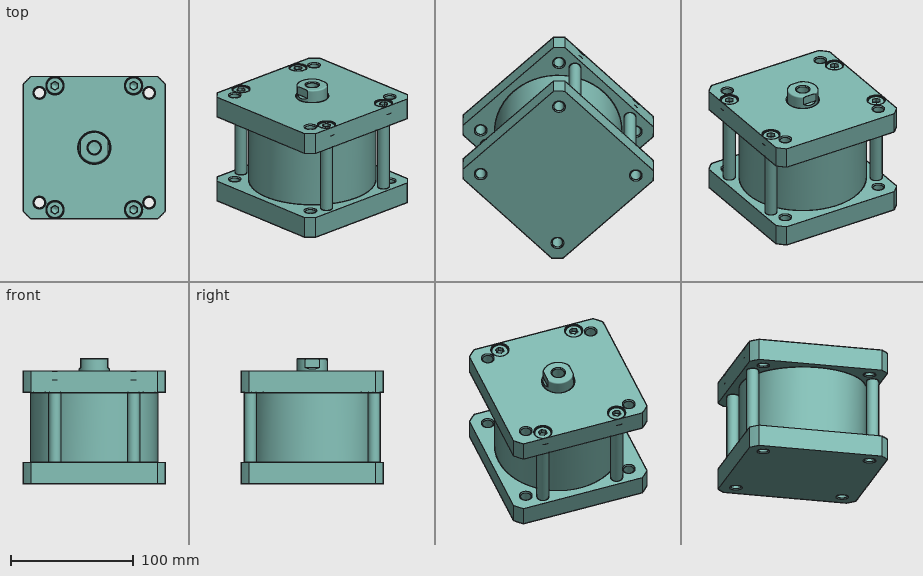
import cadquery as cq
import math

PLATE_SIDE = 116.0
PLATE_CORNER_DIAMETER = 155.2
PLATE_THICKNESS = 17.5
PLATE_GAP = 57.0

BARREL_DIAMETER = 104.0
BARREL_END_CHAMFER = 0.5

ROD_DIAMETER = 25.0
ROD_PROJECTION = 10.0
ROD_END_FILLET = 1.2
ROD_ACROSS_FLATS = 22.0
ROD_FLAT_START = 2.9
ROD_HOLE_DIAMETER = 10.1
ROD_HOLE_MOUTH_DIAMETER = 11.7
ROD_HOLE_DEPTH = 23.2
ROD_HOLE_POINT_ANGLE = 170.0

ROD_BORE_DIAMETER = 25.6
ROD_BORE_MOUTH_DIAMETER = 27.1

MOUNT_HOLE_OFFSET = 44.7
MOUNT_HOLE_DIAMETER = 8.6
MOUNT_HOLE_MOUTH_DIAMETER = 10.4

TIE_ROD_OFFSET_X = 32.0
TIE_ROD_OFFSET_Y = 50.5
TIE_ROD_DIAMETER = 10.1
TIE_ROD_END_CHAMFER = 0.5
TIE_ROD_HEAD_DIAMETER = 13.0
TIE_ROD_HEAD_FILLET = 0.7
TIE_ROD_HEAD_HEIGHT = 7.0
TIE_ROD_HEAD_RECESS = 0.6
HEX_ACROSS_FLATS = 6.0
HEX_DEPTH = 3.5
HEX_POINT_ANGLE = 118.0
COUNTERBORE_DIAMETER = 14.0
COUNTERBORE_MOUTH_DIAMETER = 15.0

TOP_PLATE_BASE = PLATE_THICKNESS + PLATE_GAP
TOP_FACE = TOP_PLATE_BASE + PLATE_THICKNESS
ROD_TOP = TOP_FACE + ROD_PROJECTION
HEAD_TOP = TOP_FACE - TIE_ROD_HEAD_RECESS
HEAD_BASE = HEAD_TOP - TIE_ROD_HEAD_HEIGHT
TIE_ROD_NECK_DIAMETER = TIE_ROD_DIAMETER - 2 * TIE_ROD_END_CHAMFER

SIGNS = (-1, 1)
TIE_ROD_PLACES = [(x * TIE_ROD_OFFSET_X, y * TIE_ROD_OFFSET_Y) for x in SIGNS for y in SIGNS]
MOUNT_HOLE_PLACES = [(x * MOUNT_HOLE_OFFSET, y * MOUNT_HOLE_OFFSET) for x in SIGNS for y in SIGNS]


def cylinder(diameter, bottom, top):
    """Upright cylinder on the Z axis between two levels."""
    return cq.Workplane("XY").workplane(offset=bottom).circle(diameter / 2).extrude(top - bottom)


def cone_between(lower_diameter, upper_diameter, bottom, top):
    """Upright cone or truncated cone on the Z axis between two levels."""
    solid = cq.Solid.makeCone(lower_diameter / 2, upper_diameter / 2, top - bottom, cq.Vector(0, 0, bottom))
    return cq.Workplane(obj=solid)


def drill_point(diameter, level, angle):
    """Cone that closes a drilled hole, with its tip below the given level."""
    depth = diameter / 2 / math.tan(math.radians(angle / 2))
    return cone_between(0, diameter, level - depth, level)


def mount_hole(bottom, top):
    """Through hole countersunk at 45 degrees at both ends."""
    flare = (MOUNT_HOLE_MOUTH_DIAMETER - MOUNT_HOLE_DIAMETER) / 2
    hole = cylinder(MOUNT_HOLE_DIAMETER, bottom, top)
    hole = hole.union(cone_between(MOUNT_HOLE_MOUTH_DIAMETER, MOUNT_HOLE_DIAMETER, bottom, bottom + flare))
    return hole.union(cone_between(MOUNT_HOLE_DIAMETER, MOUNT_HOLE_MOUTH_DIAMETER, top - flare, top))


def cut_at(body, cutter, places):
    """Cut a copy of the cutter from the body at each place."""
    for x, y in places:
        body = body.cut(cutter.translate((x, y, 0)))
    return body


def make_plate(bottom):
    """Square plate with its corners turned off round the Z axis and four mounting holes."""
    plate = (
        cq.Workplane("XY")
        .workplane(offset=bottom)
        .rect(PLATE_SIDE, PLATE_SIDE)
        .extrude(PLATE_THICKNESS)
        .intersect(cylinder(PLATE_CORNER_DIAMETER, bottom, bottom + PLATE_THICKNESS))
    )
    return cut_at(plate, mount_hole(bottom, bottom + PLATE_THICKNESS), MOUNT_HOLE_PLACES)


def make_top_plate():
    """Upper plate with counterbored tie rod holes and the piston rod bore."""
    flare = (COUNTERBORE_MOUTH_DIAMETER - COUNTERBORE_DIAMETER) / 2
    seat = cylinder(TIE_ROD_NECK_DIAMETER, TOP_PLATE_BASE, HEAD_BASE)
    seat = seat.union(cylinder(COUNTERBORE_DIAMETER, HEAD_BASE, TOP_FACE))
    seat = seat.union(cone_between(COUNTERBORE_DIAMETER, COUNTERBORE_MOUTH_DIAMETER, TOP_FACE - flare, TOP_FACE))
    plate = cut_at(make_plate(TOP_PLATE_BASE), seat, TIE_ROD_PLACES)

    bore_flare = (ROD_BORE_MOUTH_DIAMETER - ROD_BORE_DIAMETER) / 2
    plate = plate.cut(cylinder(ROD_BORE_DIAMETER, TOP_PLATE_BASE, TOP_FACE))
    return plate.cut(cone_between(ROD_BORE_DIAMETER, ROD_BORE_MOUTH_DIAMETER, TOP_FACE - bore_flare, TOP_FACE))


def make_barrel():
    """Round barrel with chamfered ends, held between the plates."""
    return cylinder(BARREL_DIAMETER, PLATE_THICKNESS, TOP_PLATE_BASE).edges().chamfer(BARREL_END_CHAMFER)


def flat_cutter(side):
    """Wedge-footed block that cuts one wrench flat; its foot slopes outwards at 45 degrees."""
    flat = ROD_ACROSS_FLATS / 2
    outer = ROD_DIAMETER
    foot = TOP_FACE + ROD_FLAT_START
    profile = [(flat, foot), (flat, ROD_TOP), (outer, ROD_TOP), (outer, foot - (outer - flat))]
    return (
        cq.Workplane("XZ")
        .polyline([(side * x, z) for x, z in profile])
        .close()
        .extrude(ROD_DIAMETER / 2, both=True)
    )


def make_piston_rod():
    """Piston rod with two wrench flats and a drilled end hole."""
    rod = cylinder(ROD_DIAMETER, TOP_PLATE_BASE, ROD_TOP).faces(">Z").edges().fillet(ROD_END_FILLET)
    for side in SIGNS:
        rod = rod.cut(flat_cutter(side))
    flare = (ROD_HOLE_MOUTH_DIAMETER - ROD_HOLE_DIAMETER) / 2
    hole_end = ROD_TOP - ROD_HOLE_DEPTH
    rod = rod.cut(cylinder(ROD_HOLE_DIAMETER, hole_end, ROD_TOP))
    rod = rod.cut(drill_point(ROD_HOLE_DIAMETER, hole_end, ROD_HOLE_POINT_ANGLE))
    return rod.cut(cone_between(ROD_HOLE_DIAMETER, ROD_HOLE_MOUTH_DIAMETER, ROD_TOP - flare, ROD_TOP))


def make_tie_rod(x, y):
    """Tie rod with a hexagon socket head and a neck through the upper plate."""
    head = cylinder(TIE_ROD_HEAD_DIAMETER, HEAD_BASE, HEAD_TOP).faces(">Z").fillet(TIE_ROD_HEAD_FILLET)
    neck = cylinder(TIE_ROD_NECK_DIAMETER, TOP_PLATE_BASE, HEAD_BASE)
    shaft = cylinder(TIE_ROD_DIAMETER, PLATE_THICKNESS, TOP_PLATE_BASE).edges().chamfer(TIE_ROD_END_CHAMFER)
    rod = head.union(neck).union(shaft)
    socket = (
        cq.Workplane("XY")
        .workplane(offset=HEAD_TOP - HEX_DEPTH)
        .polygon(6, HEX_ACROSS_FLATS, circumscribed=True)
        .extrude(HEX_DEPTH)
    )
    rod = rod.cut(socket).cut(drill_point(HEX_ACROSS_FLATS, HEAD_TOP - HEX_DEPTH, HEX_POINT_ANGLE))
    return rod.translate((x, y, 0))


bottom_plate = make_plate(0)
top_plate = make_top_plate()
barrel = make_barrel()
piston_rod = make_piston_rod()
tie_rods = [make_tie_rod(x, y) for x, y in TIE_ROD_PLACES]

result = cq.Compound.makeCompound(
    [bottom_plate.val(), top_plate.val(), barrel.val(), piston_rod.val(), *[rod.val() for rod in tie_rods]]
)